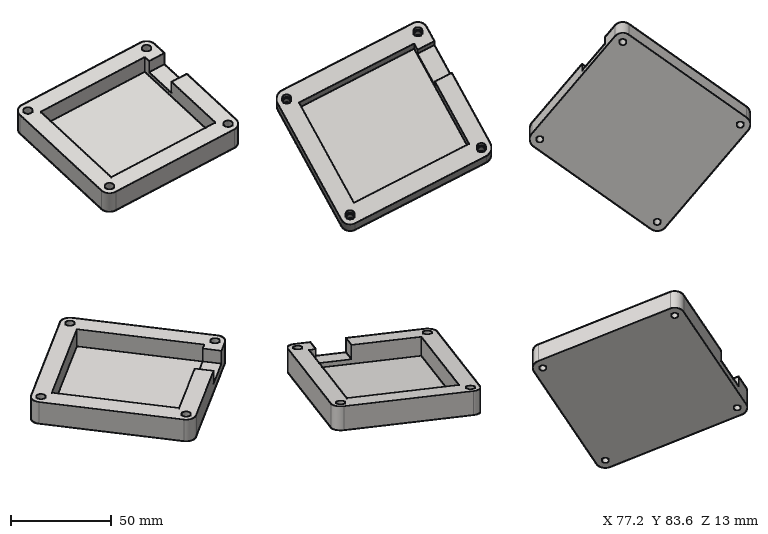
import cadquery as cq

width = 77.2
length = 83.6
height = 13.0
corner_radius = 5.0

wall = 9.5
pocket_depth = 10.2

notch_offset = 13.1
notch_width = 18.4
notch_depth = 7.7

hole_inset = corner_radius
through_diameter = 3.4
counterbore_diameter = 4.7
counterbore_depth = 5.0


def make_block():
    block = cq.Workplane("XY").box(width, length, height, centered=(True, True, False))
    return block.edges("|Z").fillet(corner_radius)


def make_pocket():
    return (
        cq.Workplane("XY")
        .workplane(offset=height - pocket_depth)
        .rect(width - 2 * wall, length - 2 * wall)
        .extrude(pocket_depth)
    )


def make_notch():
    corner = (-width / 2 + notch_offset, length / 2 - wall, height - notch_depth)
    return cq.Workplane("XY").box(notch_width, wall, notch_depth, centered=False).translate(corner)


def drill_corner_holes(body):
    return (
        body.faces(">Z")
        .workplane(origin=(0, 0, height))
        .rect(width - 2 * hole_inset, length - 2 * hole_inset, forConstruction=True)
        .vertices()
        .cboreHole(through_diameter, counterbore_diameter, counterbore_depth)
    )


result = drill_corner_holes(make_block()).cut(make_pocket()).cut(make_notch())